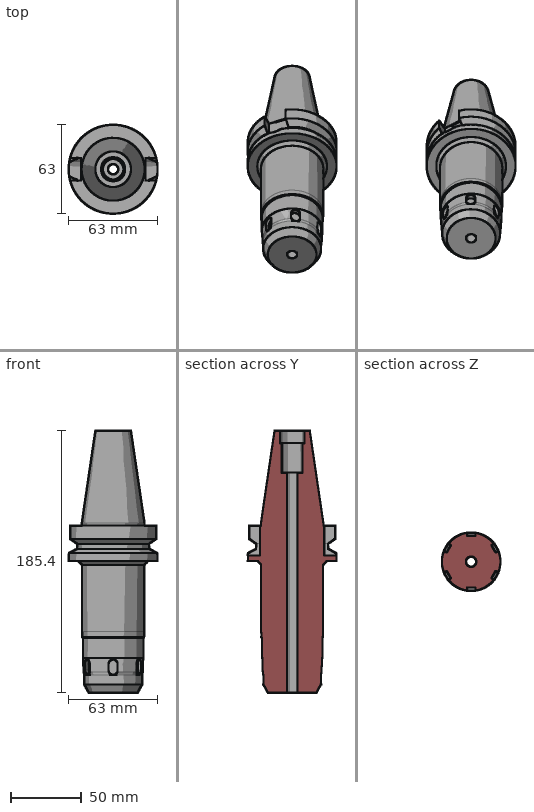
import cadquery as cq

total_height = 185.4
flange_radius = 31.5

taper_top_radius = 12.6
taper_base_radius = 22.2
taper_base_z = 120.0

flange_top_z = 118.3
groove_top_z = 108.8
groove_floor_top_z = 105.3
groove_floor_bottom_z = 101.8
groove_bottom_z = 98.8
flange_bottom_z = 93.0
groove_floor_radius = 26.7
flange_cone_radius = 24.7

body_radius = 22.0
body_top_z = 90.5
body_relief_z = 43.5
body_relief = 0.1
body_bottom_z = 39.5
sleeve_radius = 21.5
sleeve_bottom_z = 24.8
nut_top_radius = 21.3
nut_bottom_radius = 21.0
edge_bevel = 0.5
nut_bottom_z = 14.8
nose_top_z = 12.8
nose_radius = 20.5
nose_chamfer_z = 6.1
nose_tip_radius = 17.2

keyway_width = 16.1
keyway_bottom_z = 97.3
keyway_floor_x = 22.8

slot_count = 6
slot_width = 6.5
slot_bottom_z = 12.8
slot_top_z = 23.5
slot_floor_distance = 18.4

through_radius = 3.5
thread_radius = 7.2
thread_depth = 29.7
counterbore_radius = 8.5
counterbore_depth = 8.9


def make_body():
    """Revolve the outside profile, listed as (radius, z) from the nose up."""
    profile = [
        (0, 0),
        (nose_tip_radius, 0),
        (nose_radius, nose_chamfer_z),
        (nose_radius, nose_top_z),
        (nut_bottom_radius, nut_bottom_z),
        (nut_top_radius, sleeve_bottom_z - edge_bevel),
        (sleeve_radius, sleeve_bottom_z),
        (sleeve_radius, body_bottom_z - edge_bevel),
        (body_radius - body_relief, body_bottom_z),
        (body_radius, body_relief_z),
        (body_radius, body_top_z),
        (flange_cone_radius, flange_bottom_z),
        (flange_radius, flange_bottom_z),
        (flange_radius, groove_bottom_z),
        (groove_floor_radius, groove_floor_bottom_z),
        (groove_floor_radius, groove_floor_top_z),
        (flange_radius, groove_top_z),
        (flange_radius, flange_top_z),
        (taper_base_radius, flange_top_z),
        (taper_base_radius, taper_base_z),
        (taper_top_radius, total_height),
        (0, total_height),
    ]
    return cq.Workplane("XZ").polyline(profile).close().revolve(360, (0, 0), (0, 1))


def make_keyway():
    """Round-bottomed cutter that opens upward and outward on the +X side."""
    half_width = keyway_width / 2
    arc_center_z = keyway_bottom_z + half_width
    return (
        cq.Workplane("YZ", origin=(keyway_floor_x, 0, 0))
        .moveTo(-half_width, flange_top_z)
        .lineTo(-half_width, arc_center_z)
        .threePointArc((0, keyway_bottom_z), (half_width, arc_center_z))
        .lineTo(half_width, flange_top_z)
        .close()
        .extrude(flange_radius - keyway_floor_x)
    )


def make_spanner_slot():
    """Upright slot cutter with a flat floor, on the -Y side."""
    return (
        cq.Workplane("XZ", origin=(0, -slot_floor_distance, 0))
        .center(0, (slot_bottom_z + slot_top_z) / 2)
        .slot2D(slot_top_z - slot_bottom_z, slot_width, 90)
        .extrude(sleeve_radius - slot_floor_distance)
    )


def make_bore(radius, depth):
    """Round cutter going down from the small end of the taper."""
    return cq.Workplane("XY", origin=(0, 0, total_height)).circle(radius).extrude(-depth)


def around_axis(cutter, angle):
    return cutter.rotate((0, 0, 0), (0, 0, 1), angle)


result = make_body()

for angle in (0, 180):
    result = result.cut(around_axis(make_keyway(), angle))

for index in range(slot_count):
    result = result.cut(around_axis(make_spanner_slot(), index * 360 / slot_count))

result = result.cut(make_bore(through_radius, total_height))
result = result.cut(make_bore(thread_radius, thread_depth))
result = result.cut(make_bore(counterbore_radius, counterbore_depth))